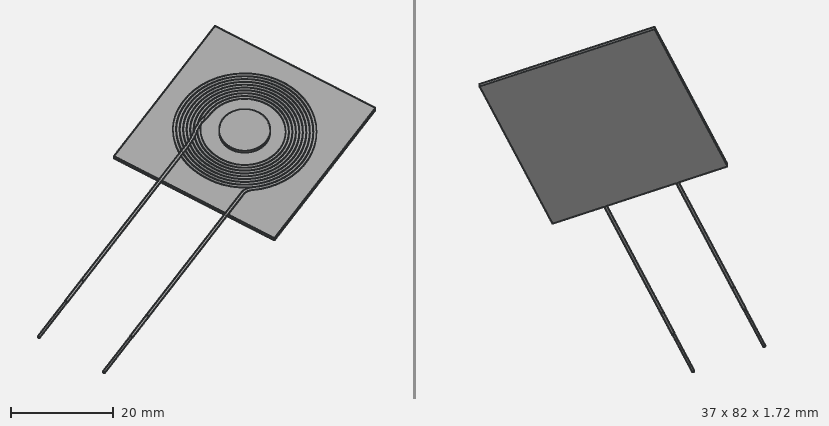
import cadquery as cq
import math


overall_length = 82

plate_side = 37.0
plate_thickness = 0.8
disc_diameter = 10.0
disc_height = 0.7

wire_diameter = 0.6
collar_diameter = 0.61
tip_diameter = 0.5

inner_radius = 8.3
turn_pitch = 0.68
full_turns = 8
outer_radius = inner_radius + full_turns * turn_pitch

lead_spacing = 15.0
lead_x = lead_spacing / 2
lead_end_y = plate_side / 2 - overall_length
tip_length = 10.1
collar_length = 5.9
collar_start_y = lead_end_y + tip_length + collar_length

exit_angle = math.radians(52)

lead_rise = 0.615
rise_start_y = -0.25
rise_end_y = -3.0
side_step_mid_y = -5.25
side_step_end_y = -9.0


def polar(radius, angle):
    return cq.Vector(radius * math.cos(angle), radius * math.sin(angle), 0)


def line(start, end):
    return cq.Edge.makeLine(start, end)


def turn_arc(radius, start_angle):
    """Arc about the spiral's centre, counterclockwise from start_angle to the -X axis."""
    middle_angle = (start_angle + math.pi) / 2
    return cq.Edge.makeThreePointArc(
        polar(radius, start_angle), polar(radius, middle_angle), polar(radius, math.pi)
    )


def step_in_curve(radius):
    """Curve that leaves the -X axis along -Y and reaches the -Y axis along +X, one pitch further in."""
    start = polar(radius, math.pi)
    end = polar(radius - turn_pitch, -math.pi / 2)
    middle = polar(radius - turn_pitch, -math.pi * 3 / 4) - cq.Vector(turn_pitch, 0, 0)
    return cq.Edge.makeSpline([start, middle, end], tangents=[cq.Vector(0, -1, 0), cq.Vector(1, 0, 0)])


def s_bend(start, middle, end):
    """Two arcs that leave start along -Y, meet at middle and arrive at end along -Y."""
    first = cq.Edge.makeTangentArc(start, cq.Vector(0, -1, 0), middle)
    second = cq.Edge.makeTangentArc(middle, first.tangentAt(1), end)
    return [first, second]


def outer_lead_path():
    spiral_exit = polar(outer_radius, -exit_angle)
    bend_radius = (spiral_exit.x - lead_x) / (1 - math.cos(exit_angle))
    bend_end = cq.Vector(lead_x, spiral_exit.y - bend_radius * math.sin(exit_angle), 0)
    bend = cq.Edge.makeTangentArc(bend_end, cq.Vector(0, 1, 0), spiral_exit)
    return [line(cq.Vector(lead_x, collar_start_y, 0), bend_end), bend]


def spiral_path():
    path = [turn_arc(outer_radius, -exit_angle)]
    for turn in range(full_turns):
        radius = outer_radius - turn * turn_pitch
        path.append(step_in_curve(radius))
        path.append(turn_arc(radius - turn_pitch, -math.pi / 2))
    return path


def inner_lead_path():
    spiral_end = polar(inner_radius, math.pi)
    rise_start = cq.Vector(-inner_radius, rise_start_y, 0)
    rise_middle = cq.Vector(-inner_radius, (rise_start_y + rise_end_y) / 2, lead_rise / 2)
    rise_end = cq.Vector(-inner_radius, rise_end_y, lead_rise)

    mid_fraction = (side_step_mid_y - rise_end_y) / (side_step_end_y - rise_end_y)
    side_step_mid_x = -inner_radius + mid_fraction * (inner_radius - lead_x)
    side_step_middle = cq.Vector(side_step_mid_x, side_step_mid_y, lead_rise)
    side_step_end = cq.Vector(-lead_x, side_step_end_y, lead_rise)

    path = [line(spiral_end, rise_start)]
    path += s_bend(rise_start, rise_middle, rise_end)
    path += s_bend(rise_end, side_step_middle, side_step_end)
    path.append(line(side_step_end, cq.Vector(-lead_x, collar_start_y, lead_rise)))
    return path


def lead_end(x, z):
    """Collar and thinner bare tip that finish a lead."""
    start = cq.Plane(origin=(x, collar_start_y, z), xDir=(1, 0, 0), normal=(0, -1, 0))
    collar = cq.Workplane(start).circle(collar_diameter / 2).extrude(collar_length)
    tip = cq.Workplane(start).circle(tip_diameter / 2).extrude(collar_length + tip_length)
    return collar.union(tip)


def make_coil():
    path = cq.Wire.assembleEdges(outer_lead_path() + spiral_path() + inner_lead_path())
    section = cq.Plane(origin=(lead_x, collar_start_y, 0), xDir=(1, 0, 0), normal=(0, 1, 0))
    wire = cq.Workplane(section).circle(wire_diameter / 2).sweep(path)
    return wire.union(lead_end(lead_x, 0)).union(lead_end(-lead_x, lead_rise))


def make_plate(coil):
    """Square plate with the groove that the sunk half of the coil fills."""
    plate = cq.Workplane("XY").rect(plate_side, plate_side).extrude(-plate_thickness)
    return plate.cut(coil)


def make_disc():
    return cq.Workplane("XY").circle(disc_diameter / 2).extrude(disc_height)


coil = make_coil()
plate = make_plate(coil)
disc = make_disc()

result = cq.Compound.makeCompound([plate.solids().val(), coil.solids().val(), disc.val()])